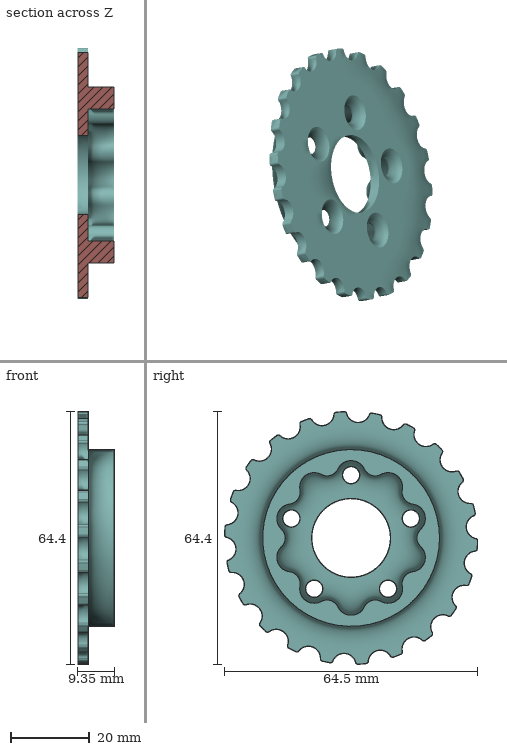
import cadquery as cq
import math

tip_diameter = 64.5
plate_thickness = 2.7
tooth_count = 22
first_gap_angle = 5
gap_radius = 3.0
root_radius = 29.45
tooth_corner_radius = 0.65

total_thickness = 9.35
hub_diameter = 45.0
bore_diameter = 20

hole_count = 5
first_hole_angle = 90
hole_circle_diameter = 32.0
hole_diameter = 4.3
countersink_diameter = 8.95
countersink_angle = 90

lobe_count = 2 * hole_count
lobe_radius = 3.1
lobe_tip_distance = 16.75

hub_height = total_thickness - plate_thickness


def polar_point(radius, angle):
    """Point (Y, Z) at a distance from the part axis, with the angle in degrees from +Y."""
    radians = math.radians(angle)
    return radius * math.cos(radians), radius * math.sin(radians)


def ring_points(radius, count, first_angle):
    """Points evenly spread on a circle about the part axis."""
    return [polar_point(radius, first_angle + i * 360 / count) for i in range(count)]


def disc(x, diameter, length):
    """Solid cylinder along the part axis, starting at x."""
    return cq.Workplane("YZ", origin=(x, 0, 0)).circle(diameter / 2).extrude(length)


def toothed_plate():
    blank = disc(0, tip_diameter, plate_thickness)
    gap_centres = ring_points(root_radius + gap_radius, tooth_count, first_gap_angle)
    gaps = cq.Workplane("YZ").pushPoints(gap_centres).circle(gap_radius).extrude(plate_thickness)
    return blank.cut(gaps).edges("|X").fillet(tooth_corner_radius)


def hub_hollow():
    """Closed wave of tangent arcs, extruded through the height of the hub."""
    pitch = 360 / lobe_count
    half_pitch = math.radians(pitch / 2)
    pocket_distance = hole_circle_diameter / 2
    lobe_distance = lobe_tip_distance + lobe_radius

    across = lobe_distance * math.sin(half_pitch)
    outward = lobe_distance * math.cos(half_pitch) - pocket_distance
    centre_spacing = math.hypot(across, outward)
    pocket_radius = centre_spacing - lobe_radius
    share = pocket_radius / centre_spacing
    touch_distance = math.hypot(pocket_distance + share * outward, share * across)
    touch_angle = math.degrees(math.atan2(share * across, pocket_distance + share * outward))

    start = polar_point(touch_distance, first_hole_angle - touch_angle)
    wave = cq.Workplane("YZ", origin=(plate_thickness, 0, 0)).moveTo(*start)
    for i in range(lobe_count):
        pocket_angle = first_hole_angle + i * pitch
        pocket_floor = polar_point(pocket_distance + pocket_radius, pocket_angle)
        pocket_end = polar_point(touch_distance, pocket_angle + touch_angle)
        lobe_tip = polar_point(lobe_tip_distance, pocket_angle + pitch / 2)
        lobe_end = polar_point(touch_distance, pocket_angle + pitch - touch_angle)
        wave = wave.threePointArc(pocket_floor, pocket_end)
        wave = wave.threePointArc(lobe_tip, lobe_end)
    return wave.close().extrude(hub_height)


def drill_screw_holes(plate):
    """Screw holes countersunk from the front face, whose sketch X axis runs along -Y."""
    centres = ring_points(hole_circle_diameter / 2, hole_count, first_hole_angle)
    front = plate.faces("<X").workplane(origin=(0, 0, 0)).pushPoints([(-y, z) for y, z in centres])
    return front.cskHole(hole_diameter, countersink_diameter, countersink_angle)


bore = disc(0, bore_diameter, plate_thickness)
plate = drill_screw_holes(toothed_plate().cut(bore))
hub = disc(plate_thickness, hub_diameter, hub_height).cut(hub_hollow())
result = plate.union(hub)